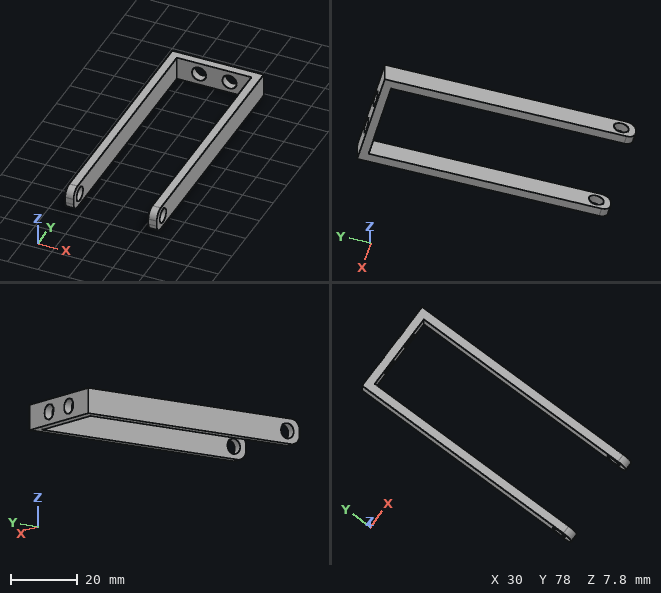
import cadquery as cq

width = 30.0
length = 78.0
height = 7.8
wall = 2.8

tip_radius = 3.0
hole_diameter = 4.6
base_hole_spacing = 10.0
pivot_to_tip = 4.5

tip_y = -length / 2
base_y = length / 2


def make_arms_and_base():
    """U-shaped strip, open towards -Y, with rounded arm tips."""
    bar = cq.Workplane("XY").box(width, length, height)
    bar = bar.faces("<Y").edges("|X").fillet(tip_radius)
    opening = (
        cq.Workplane("XY")
        .box(width - 2 * wall, length, height)
        .translate((0, -wall, 0))
    )
    return bar.cut(opening)


def make_pivot_hole():
    """Cylinder along X that passes through both arms."""
    return (
        cq.Workplane("YZ")
        .center(tip_y + pivot_to_tip, 0)
        .circle(hole_diameter / 2)
        .extrude(width / 2, both=True)
    )


def make_base_holes():
    """Pair of cylinders along Y that pass through the base."""
    return (
        cq.Workplane("XZ", origin=(0, base_y, 0))
        .pushPoints([(-base_hole_spacing / 2, 0), (base_hole_spacing / 2, 0)])
        .circle(hole_diameter / 2)
        .extrude(wall)
    )


result = make_arms_and_base().cut(make_pivot_hole()).cut(make_base_holes())